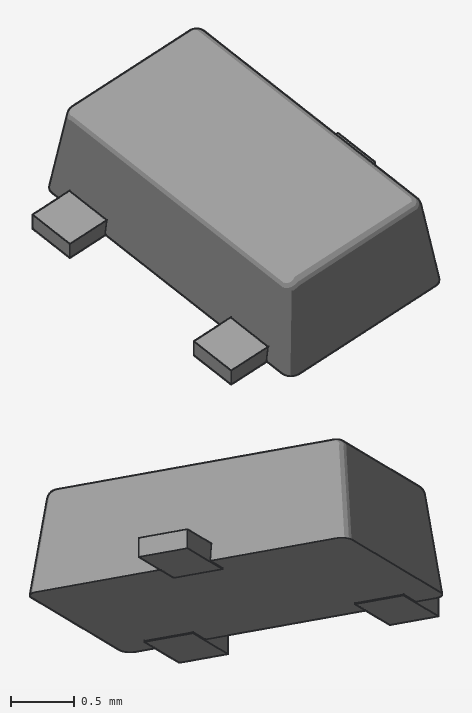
import cadquery as cq

body_length = 2.9
body_width = 1.65
lead_span = 2.4
total_height = 0.91

standoff = 0.01
draft_angle = 7.0
edge_radius = 0.1
body_height = total_height - standoff

lead_width = 0.44
lead_length = 0.577
lead_thickness = 0.16
lead_pitch = 1.9

lead_places = [
    (-lead_pitch / 2, -1),
    (lead_pitch / 2, -1),
    (0, 1),
]


def make_lead(x, side):
    """Flat rectangular lead whose outer end reaches the full lead span."""
    y = side * (lead_span - lead_length) / 2
    return (
        cq.Workplane("XY")
        .center(x, y)
        .rect(lead_width, lead_length)
        .extrude(lead_thickness)
    )


def make_housing(leads):
    """Drafted block with rounded corners and top rim, recessed for the leads."""
    block = (
        cq.Workplane("XY")
        .workplane(offset=standoff)
        .rect(body_length, body_width)
        .extrude(body_height, taper=draft_angle)
    )
    housing = block.edges("not <Z").fillet(edge_radius)
    for lead in leads:
        housing = housing.cut(lead)
    return housing


leads = [make_lead(x, side) for x, side in lead_places]
housing = make_housing(leads)

result = cq.Compound.makeCompound([housing.val(), *[lead.val() for lead in leads]])